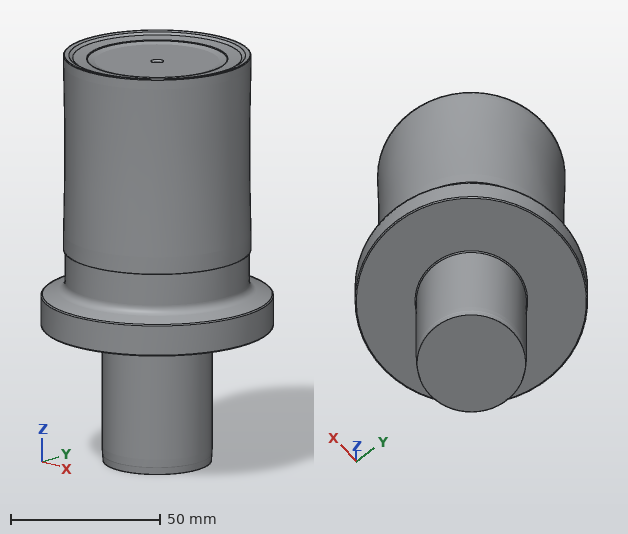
import cadquery as cq
import math

total_height = 141.0
flange_bottom = 46.8
flange_top = 57.8
cone_top = 59.2
neck_bottom = 62.2
sleeve_bottom = 73.0
waist_bottom = 79.1
waist_top = 137.5

stem_radius = 18.5
flange_radius = 78.0 / 2
cone_top_radius = 33.1
neck_radius = 30.9
sleeve_radius = 31.5
waist_radius = 31.0

stem_tip_height = 2.3
stem_tip_inset = 0.1
stem_step_height = 0.3
stem_step_inset = 0.07
stem_collar_width = 0.4
stem_lead_height = 5.2
stem_lead_inset = 0.07
flange_chamfer = 0.4
sleeve_chamfer = 0.3

rim_radius = 29.6
rim_depth = 0.3
dish_radius = 28.3
dish_depth = 1.0
ledge_radius = 23.7
ledge_depth = 1.4
ledge_step = 0.3
floor_radius = 20.9
floor_depth = 2.3

countersink_radius = 2.1
hole_radius = 1.4
hole_depth = 4.2
hole_point_depth = 0.8


def turned_body():
    """Revolve the stem, flange, neck and waisted sleeve with the dished top."""
    waist_middle = (waist_bottom + waist_top) / 2
    ledge_height = total_height - ledge_depth
    tip_radius = stem_radius - stem_lead_inset - stem_step_inset
    blend_width = cone_top_radius - neck_radius
    blend_height = neck_bottom - cone_top
    blend_radius = (blend_width**2 + blend_height**2) / (2 * blend_width)
    half_angle = math.asin(blend_height / blend_radius) / 2
    blend_middle = (
        neck_radius + blend_radius * (1 - math.cos(half_angle)),
        neck_bottom - blend_radius * math.sin(half_angle),
    )
    profile = (
        cq.Workplane("XZ")
        .moveTo(0, 0)
        .lineTo(tip_radius - stem_tip_inset, 0)
        .lineTo(tip_radius, stem_tip_height)
        .lineTo(tip_radius + stem_step_inset, stem_tip_height + stem_step_height)
        .lineTo(stem_radius, stem_lead_height)
        .lineTo(stem_radius, flange_bottom - stem_collar_width)
        .lineTo(stem_radius + stem_collar_width, flange_bottom)
        .lineTo(flange_radius - flange_chamfer, flange_bottom)
        .lineTo(flange_radius, flange_bottom + flange_chamfer)
        .lineTo(flange_radius, flange_top - flange_chamfer)
        .lineTo(flange_radius - flange_chamfer, flange_top)
        .lineTo(cone_top_radius, cone_top)
        .threePointArc(blend_middle, (neck_radius, neck_bottom))
        .lineTo(neck_radius, sleeve_bottom)
        .lineTo(sleeve_radius, sleeve_bottom + sleeve_chamfer)
        .lineTo(sleeve_radius, waist_bottom)
        .threePointArc((waist_radius, waist_middle), (sleeve_radius, waist_top))
        .lineTo(sleeve_radius, total_height - sleeve_chamfer)
        .lineTo(sleeve_radius - sleeve_chamfer, total_height)
        .lineTo(rim_radius, total_height - rim_depth)
        .lineTo(dish_radius, total_height - dish_depth)
        .lineTo(ledge_radius, ledge_height)
        .lineTo(ledge_radius - ledge_step, ledge_height - ledge_step)
        .lineTo(floor_radius, total_height - floor_depth)
        .lineTo(0, total_height - floor_depth)
        .close()
    )
    return profile.revolve(360, (0, 0, 0), (0, 1, 0))


def centre_hole():
    """Blind drilled hole with a conical bottom and a 45 degree countersink at the dish floor."""
    floor_height = total_height - floor_depth
    countersink_depth = countersink_radius - hole_radius
    return (
        cq.Workplane("XZ")
        .moveTo(0, floor_height)
        .lineTo(countersink_radius, floor_height)
        .lineTo(hole_radius, floor_height - countersink_depth)
        .lineTo(hole_radius, floor_height - hole_depth)
        .lineTo(0, floor_height - hole_depth - hole_point_depth)
        .close()
        .revolve(360, (0, 0, 0), (0, 1, 0))
    )


result = turned_body().cut(centre_hole())